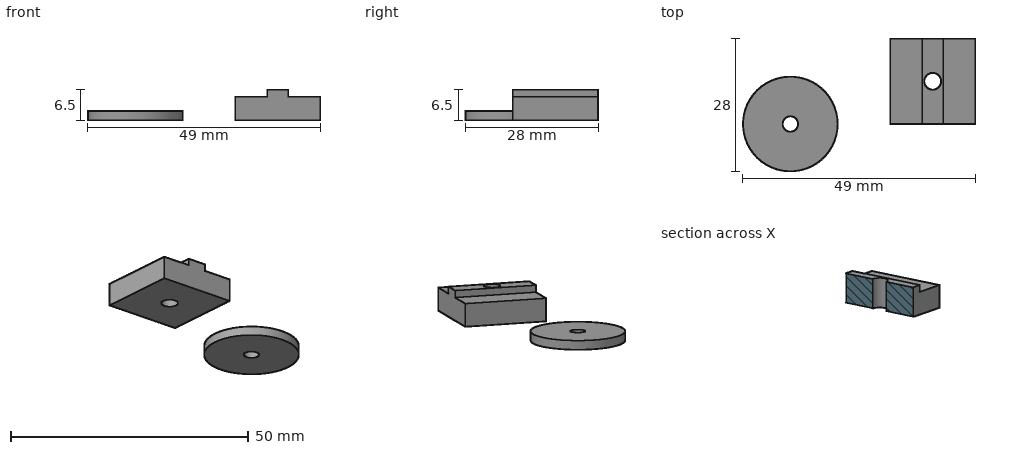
import cadquery as cq

disc_diameter = 20.0
disc_thickness = 2.0
disc_hole_diameter = 3.2

block_side = 18.0
block_body_height = 5.0
rib_width = 4.5
rib_height = 1.5
block_hole_diameter = 3.5
block_center_x = 30.0
block_center_y = block_side / 2


def make_disc():
    """Flat round disc with a central through hole."""
    return (
        cq.Workplane("XY")
        .circle(disc_diameter / 2)
        .circle(disc_hole_diameter / 2)
        .extrude(disc_thickness)
    )


def make_block():
    """Square block with a full-length rib on top and a vertical through hole in its middle."""
    return (
        cq.Workplane("XY", origin=(block_center_x, block_center_y, 0))
        .rect(block_side, block_side)
        .extrude(block_body_height)
        .faces(">Z")
        .workplane(centerOption="CenterOfBoundBox")
        .rect(rib_width, block_side)
        .extrude(rib_height)
        .faces(">Z")
        .workplane(centerOption="CenterOfBoundBox")
        .hole(block_hole_diameter)
    )


disc = make_disc()
block = make_block()

result = cq.Compound.makeCompound([disc.val(), block.val()])